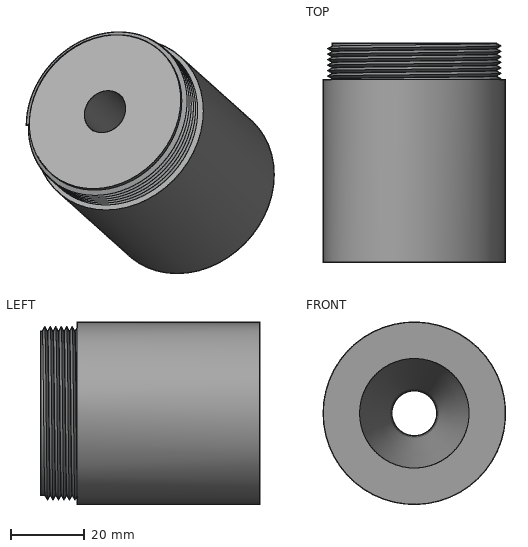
import cadquery as cq

body_diameter = 50.0
body_length = 50.0

spigot_length = 10.0
core_diameter = 45.0
total_length = body_length + spigot_length

cone_mouth_diameter = 30.0
cone_throat_diameter = 13.05
cone_depth = 30.0
taper_length = 2.0
outlet_diameter = 12.25

thread_pitch = 1.5
thread_height = 1.25
thread_root_gap = 0.05
thread_embed = 0.05
thread_turns = 7
thread_length = thread_turns * thread_pitch
thread_low_end = total_length - thread_pitch / 2 - thread_length


def revolve_about_axis(profile):
    """Turn a closed profile of (radius, y) points about the Y axis."""
    points = [(-radius, y) for radius, y in profile]
    return cq.Workplane("XY").polyline(points).close().revolve(360, (0, 0, 0), (0, 1, 0))


def make_cylinder(diameter, start_y, end_y):
    radius = diameter / 2
    return revolve_about_axis([(0, start_y), (radius, start_y), (radius, end_y), (0, end_y)])


def make_thread_ridge():
    """Helical ridge; its low end runs on into the body so the thread meets the shoulder."""
    core_radius = core_diameter / 2
    crest_radius = core_radius + thread_height
    foot_radius = core_radius - thread_embed
    half_foot = (thread_pitch - thread_root_gap) / 2
    helix = cq.Workplane(cq.Wire.makeHelix(thread_pitch, thread_length, core_radius))
    ridge_profile = [
        (foot_radius, -half_foot),
        (crest_radius, 0),
        (foot_radius, half_foot),
    ]
    ridge = cq.Workplane("XZ").polyline(ridge_profile).close().sweep(helix, isFrenet=True)
    return ridge.rotate((0, 0, 0), (1, 0, 0), -90).translate((0, thread_low_end, 0))


def make_bore():
    return revolve_about_axis([
        (0, 0),
        (cone_mouth_diameter / 2, 0),
        (cone_throat_diameter / 2, cone_depth),
        (outlet_diameter / 2, cone_depth + taper_length),
        (outlet_diameter / 2, total_length),
        (0, total_length),
    ])


threaded_core = make_cylinder(core_diameter, body_length / 2, total_length)
threaded_core = threaded_core.union(make_thread_ridge(), clean=False)
body = make_cylinder(body_diameter, 0, body_length)
part = body.union(threaded_core, clean=False).cut(make_bore(), clean=False)
result = cq.Workplane(part.solids().val())